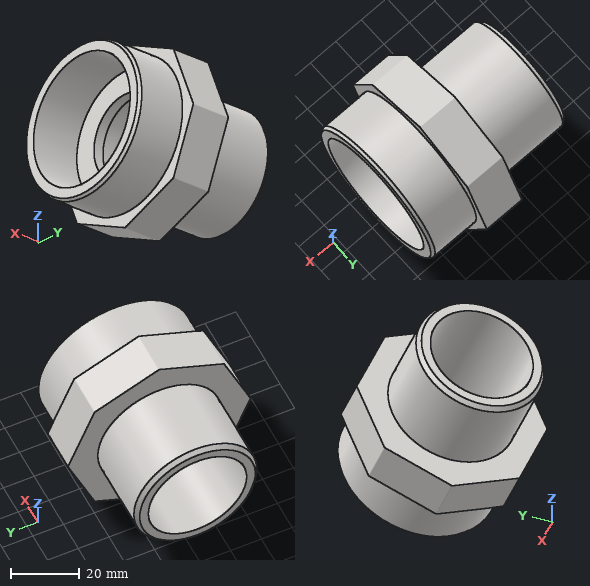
import cadquery as cq
import math

spigot_length = 26.0
flange_width = 13.85
collar_length = 17.2
flange_end = spigot_length + flange_width
total_length = flange_end + collar_length

spigot_diameter = 40.0
spigot_chamfer_length = 1.5
spigot_chamfer_depth = 1.2
collar_diameter = 50.0
collar_chamfer_length = 1.05
collar_chamfer_depth = 0.7
flange_sides = 8
flange_across_corners = 59.45
corner_fillet = 0.5

spigot_bore_diameter = 32.0
stop_diameter = 27.2
socket_diameter = 42.2
stop_width = 3.55
socket_depth = collar_length
stop_end = total_length - socket_depth
spigot_bore_depth = stop_end - stop_width


def cylinder(diameter, start, length):
    """Solid cylinder along X."""
    return cq.Workplane("YZ", origin=(start, 0, 0)).circle(diameter / 2).extrude(length)


def make_spigot():
    return cylinder(spigot_diameter, 0, spigot_length).faces("<X").chamfer(
        spigot_chamfer_length, spigot_chamfer_depth
    )


def make_collar():
    return cylinder(collar_diameter, flange_end, collar_length).faces(">X").chamfer(
        collar_chamfer_length, collar_chamfer_depth
    )


def make_flange():
    """Octagonal wrench flange with slightly rounded corners."""
    corner_loss = corner_fillet * (1 / math.cos(math.pi / flange_sides) - 1)
    sharp_diameter = flange_across_corners + 2 * corner_loss
    return (
        cq.Workplane("YZ", origin=(spigot_length, 0, 0))
        .polygon(flange_sides, sharp_diameter)
        .extrude(flange_width)
        .edges("|X")
        .fillet(corner_fillet)
    )


body = make_spigot().union(make_flange()).union(make_collar())
body = body.cut(cylinder(stop_diameter, 0, total_length))
body = body.cut(cylinder(spigot_bore_diameter, 0, spigot_bore_depth))
result = body.cut(cylinder(socket_diameter, stop_end, socket_depth))